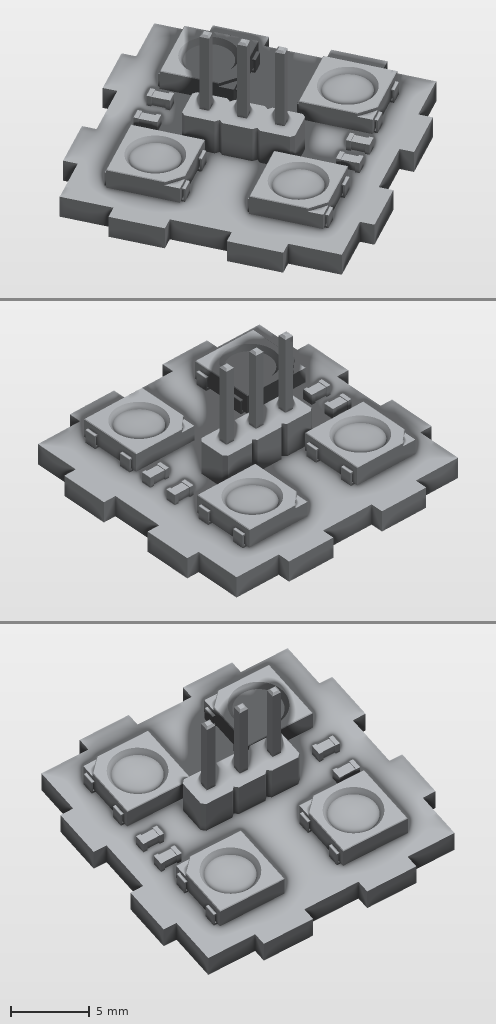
import cadquery as cq
BOARD_SPAN = 21.0
BOARD_THICK = 1.62
TAB_DEPTH = 0.99
TAB_WIDTH = 3.8
TAB_OFFSET = 4.0
PIN_HOLE_DIA = 1.0

HEADER_X = -0.02
HEADER_Y = -0.82
PIN_COUNT = 3
PIN_PITCH = 2.55
HEADER_DEPTH = 2.55
HEADER_HEIGHT = 2.58
HEADER_BEVEL = 0.25
PIN_SIZE = 0.65
PIN_BELOW_BOARD = 1.36
PIN_LENGTH = 11.55
PIN_TIP_INSET = 0.15
PIN_TIP_HEIGHT = 0.15

LED_CENTERS = [(-4.45, 5.45), (4.95, 5.31), (-4.45, -5.38), (5.1, -5.06)]
LED_SIZE = 5.0
LED_STANDOFF = 0.17
LED_TOP = 1.62
LED_EDGE_CHAMFER = 0.05
LENS_TOP_DIA = 3.95
LENS_FLOOR_DIA = 3.34
LENS_DEPTH = 0.35
MARK_LEG = 1.05
MARK_DEPTH = 0.3
LEAD_WIDTH = 0.9
LEAD_SPACING = 3.32
LEAD_SPAN = 5.45
LEAD_TOP = 1.05
LEAD_THICK = 0.13
LEAD_FOOT_LENGTH = 1.05

CAPACITOR_CENTERS = [(-6.47, 1.65), (-6.53, -0.75), (7.1, 1.32), (7.1, -0.7)]
CAPACITOR_LENGTH = 1.6
CAPACITOR_WIDTH = 0.82
CAPACITOR_HEIGHT = 0.8
TERMINAL_LENGTH = 0.32
CORE_RECESS = 0.06

pin_centers = [
    (HEADER_X + (i - (PIN_COUNT - 1) / 2) * PIN_PITCH, HEADER_Y) for i in range(PIN_COUNT)
]


def block(length, width, bottom, top, x=0.0, y=0.0):
    """Box centred on (x, y) that reaches from Z = bottom to Z = top."""
    return (
        cq.Workplane("XY", origin=(x, y, bottom))
        .rect(length, width)
        .extrude(top - bottom)
    )


def make_board():
    """Square plate with two tabs on each edge and a round hole for each pin."""
    core_span = BOARD_SPAN - 2 * TAB_DEPTH
    board = block(core_span, core_span, -BOARD_THICK, 0)
    for offset in (-TAB_OFFSET, TAB_OFFSET):
        board = board.union(block(TAB_WIDTH, BOARD_SPAN, -BOARD_THICK, 0, x=offset))
        board = board.union(block(BOARD_SPAN, TAB_WIDTH, -BOARD_THICK, 0, y=offset))
    holes = (
        cq.Workplane("XY", origin=(0, 0, -BOARD_THICK))
        .pushPoints(pin_centers)
        .circle(PIN_HOLE_DIA / 2)
        .extrude(BOARD_THICK)
    )
    return board.cut(holes)


def make_pin(x, y):
    """Square pin with a tapered tip at each end."""
    bottom = -BOARD_THICK - PIN_BELOW_BOARD
    top = bottom + PIN_LENGTH
    return (
        block(PIN_SIZE, PIN_SIZE, bottom, top, x, y)
        .faces(">Z")
        .chamfer(PIN_TIP_HEIGHT, PIN_TIP_INSET)
        .faces("<Z")
        .chamfer(PIN_TIP_HEIGHT, PIN_TIP_INSET)
    )


def make_header():
    """Row of bevelled square cells, one for each pin, joined with the pins."""
    header = cq.Workplane("XY")
    for x, y in pin_centers:
        cell = block(PIN_PITCH, HEADER_DEPTH, 0, HEADER_HEIGHT, x, y).edges("|Z").chamfer(HEADER_BEVEL)
        header = header.union(cell).union(make_pin(x, y))
    return header


def make_lead(y):
    """C-shaped lead on the +X side: shoulder, vertical leg and foot."""
    outer = LEAD_SPAN / 2
    shoulder_start = LED_SIZE / 2
    foot_start = outer - LEAD_FOOT_LENGTH
    leg_inner = outer - LEAD_THICK
    return (
        cq.Workplane("XZ", origin=(0, y + LEAD_WIDTH / 2, 0))
        .moveTo(foot_start, 0)
        .lineTo(outer, 0)
        .lineTo(outer, LEAD_TOP)
        .lineTo(shoulder_start, LEAD_TOP)
        .lineTo(shoulder_start, LEAD_TOP - LEAD_THICK)
        .lineTo(leg_inner, LEAD_TOP - LEAD_THICK)
        .lineTo(leg_inner, LED_STANDOFF)
        .lineTo(foot_start, LED_STANDOFF)
        .close()
        .extrude(LEAD_WIDTH)
        .edges("|Y and >X")
        .fillet(LEAD_THICK / 2)
    )


def make_led(x, y):
    """Square package with a conical lens recess, a corner mark and four leads."""
    half = LED_SIZE / 2
    led = block(LED_SIZE, LED_SIZE, LED_STANDOFF, LED_TOP)
    lens = (
        cq.Workplane("XY", origin=(0, 0, LED_TOP))
        .circle(LENS_TOP_DIA / 2)
        .workplane(offset=-LENS_DEPTH)
        .circle(LENS_FLOOR_DIA / 2)
        .loft()
    )
    corner_mark = (
        cq.Workplane("XY", origin=(half, -half, LED_TOP))
        .polyline([(0, 0), (0, MARK_LEG), (-MARK_LEG, 0)])
        .close()
        .extrude(-MARK_DEPTH)
    )
    led = led.cut(corner_mark).faces(">Z").chamfer(LED_EDGE_CHAMFER).cut(lens)
    for lead_y in (-LEAD_SPACING / 2, LEAD_SPACING / 2):
        lead = make_lead(lead_y)
        led = led.union(lead).union(lead.mirror("YZ"))
    return led.translate((x, y, 0))


def make_capacitor(x, y):
    """Chip with a slightly recessed core between two end terminals."""
    capacitor = block(
        CAPACITOR_LENGTH - 2 * TERMINAL_LENGTH,
        CAPACITOR_WIDTH - 2 * CORE_RECESS,
        CORE_RECESS,
        CAPACITOR_HEIGHT - CORE_RECESS,
        x,
        y,
    )
    terminal_offset = (CAPACITOR_LENGTH - TERMINAL_LENGTH) / 2
    for side in (-1, 1):
        terminal_x = x + side * terminal_offset
        terminal = block(TERMINAL_LENGTH, CAPACITOR_WIDTH, 0, CAPACITOR_HEIGHT, terminal_x, y)
        capacitor = capacitor.union(terminal)
    return capacitor


board = make_board()
header = make_header()
leds = [make_led(x, y) for x, y in LED_CENTERS]
capacitors = [make_capacitor(x, y) for x, y in CAPACITOR_CENTERS]

result = cq.Compound.makeCompound(
    [board.val(), header.val()]
    + [led.val() for led in leds]
    + [capacitor.val() for capacitor in capacitors]
)